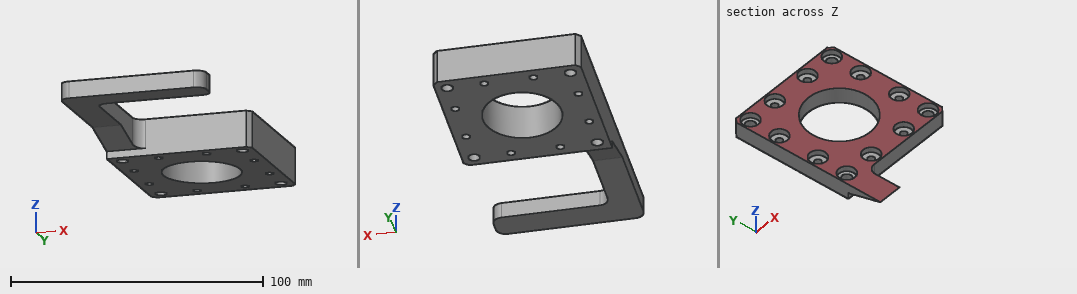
import cadquery as cq
import math

plate_size = 60.0
plate_thickness = 15.0
total_length = 122.0

arm_width = 12.0
arm_thickness = 7.0
arm_corner_radius = 4.0
plate_chamfer = 2.0

gusset_bottom = 3.0
gusset_angle = 15.0

bore_diameter = 32.0
counterbore_diameter = 8.0
counterbore_depth = 10.0
corner_hole_diameter = 4.6
side_hole_diameter = 3.2
hole_edge_offset = 5.0
side_hole_spacing = 20.0

half_plate = plate_size / 2
arm_end = half_plate - total_length
arm_inner_x = arm_width - half_plate
arm_inner_y = arm_end + arm_width
arm_bottom = plate_thickness - arm_thickness
gusset_length = (arm_bottom - gusset_bottom) / math.tan(math.radians(gusset_angle))


def make_outline():
    """Full-height prism of the square plate with its L-shaped arm."""
    prism = (
        cq.Workplane("XY")
        .moveTo(-half_plate, half_plate)
        .lineTo(half_plate, half_plate)
        .lineTo(half_plate, -half_plate)
        .lineTo(arm_inner_x, -half_plate)
        .lineTo(arm_inner_x, arm_inner_y)
        .lineTo(half_plate, arm_inner_y)
        .lineTo(half_plate, arm_end)
        .lineTo(-half_plate, arm_end)
        .close()
        .extrude(plate_thickness)
    )
    arm_corners = [
        (arm_inner_x, -half_plate),
        (arm_inner_x, arm_inner_y),
        (half_plate, arm_inner_y),
        (half_plate, arm_end),
        (-half_plate, arm_end),
    ]
    plate_corners = [
        (-half_plate, half_plate),
        (half_plate, half_plate),
        (half_plate, -half_plate),
    ]
    prism = vertical_edges(prism, arm_corners).fillet(arm_corner_radius)
    return vertical_edges(prism, plate_corners).chamfer(plate_chamfer)


def vertical_edges(body, corners):
    """Select the vertical edges standing at the given XY corners."""
    edges = []
    for x, y in corners:
        middle = (x, y, plate_thickness / 2)
        edges.append(body.edges(cq.NearestToPointSelector(middle)).val())
    return body.newObject(edges)


def make_side_profile():
    """Side silhouette: thick plate, sloped gusset and thin arm."""
    return (
        cq.Workplane("YZ")
        .moveTo(half_plate, 0)
        .lineTo(half_plate, plate_thickness)
        .lineTo(arm_end, plate_thickness)
        .lineTo(arm_end, arm_bottom)
        .lineTo(-half_plate - gusset_length, arm_bottom)
        .lineTo(-half_plate, gusset_bottom)
        .lineTo(-half_plate, 0)
        .close()
        .extrude(half_plate, both=True)
    )


def cut_counterbored_holes(body, points, diameter):
    """Through holes, counterbored from the top face."""
    return (
        body.faces(">Z")
        .workplane(origin=(0, 0, plate_thickness))
        .pushPoints(points)
        .cboreHole(diameter, counterbore_diameter, counterbore_depth)
    )


hole_reach = half_plate - hole_edge_offset
corner_points = []
side_points = []
for side in (-1, 1):
    for end in (-1, 1):
        corner_points.append((side * hole_reach, end * hole_reach))
        side_points.append((side * hole_reach, end * side_hole_spacing / 2))
        side_points.append((end * side_hole_spacing / 2, side * hole_reach))

result = make_outline().intersect(make_side_profile())
result = result.faces(">Z").workplane(origin=(0, 0, plate_thickness)).hole(bore_diameter)
result = cut_counterbored_holes(result, corner_points, corner_hole_diameter)
result = cut_counterbored_holes(result, side_points, side_hole_diameter)